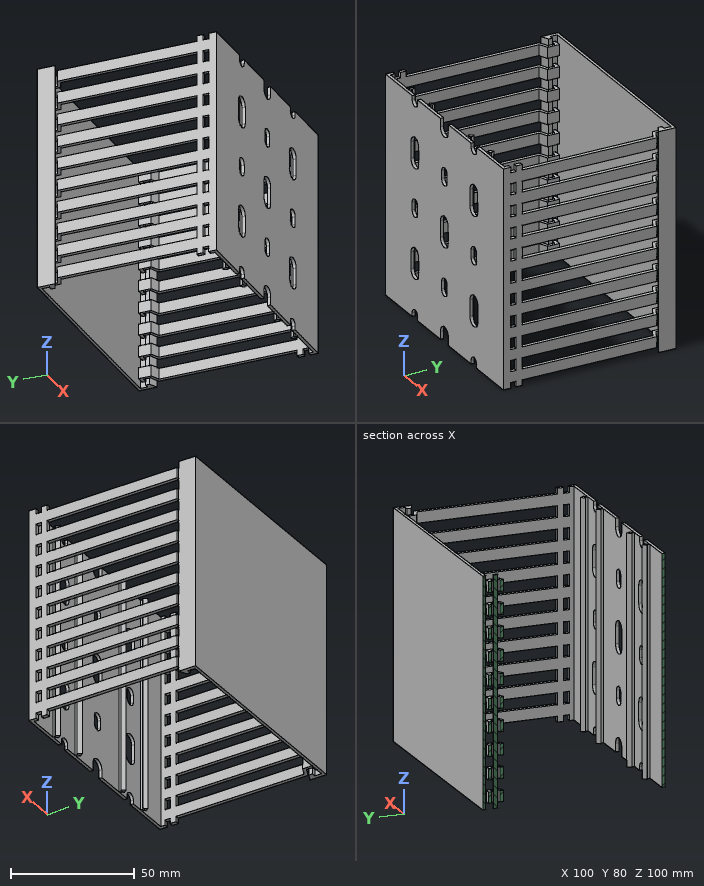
import cadquery as cq

width = 100.0
depth = 80.0
length = 100.0
half_width = width / 2
front_y = -depth / 2
back_y = depth / 2

wall = 1.8
floor = 1.5
floor_y = front_y + floor
wall_inner_x = half_width - wall

hook_start_y = 31.1
hook_bend_rise = 1.8
hook_inner_drop = 0.9
hook_lip = 1.6
hook_top_y = 37.6
hook_lip_clearance = 0.3
hook_thickness = 1.4
hook_inner_x = half_width - 5.6
hook_outer_x = hook_inner_x + hook_thickness
hook_inner_start_y = hook_start_y - hook_inner_drop

finger_count = 10
finger_pitch = length / finger_count
opening_height = finger_pitch / 2
finger_root_y = front_y + 8.8
break_slot_y = front_y + 3.5
break_slot_width = 2.5

slot_spacing = 25.0
large_slot = (14.0, 6.5)
small_slot = (8.0, 4.5)

rib_positions = (-33.4, -16.7, 16.7, 33.4)
rib_height = 3.2
rib_stem = 1.0
rib_head = 2.4
rib_head_base = 1.4
rib_barb_drop = 0.2

lid = 1.4
leg = 1.8
leg_end_y = 31.9
catch_tip_x = half_width - 3.6
catch_rise = 1.7
catch_tip_y = leg_end_y + catch_rise
catch_shelf_y = 35.4


def extrude_profile(points):
    """Closed XY outline extruded over the full length, centred on Z = 0."""
    profile = cq.Workplane("XY").workplane(offset=-length / 2)
    return profile.polyline(points).close().extrude(length)


def mirrored_outline(right_half):
    """Outline completed by mirroring its right half about the YZ plane."""
    left_half = [(-x, y) for x, y in reversed(right_half)]
    return right_half + left_half


def base_channel():
    """U-shaped channel whose side walls end in inward snap hooks."""
    lip_x = half_width - leg - hook_lip_clearance
    return extrude_profile(mirrored_outline([
        (half_width, front_y),
        (half_width, hook_start_y),
        (hook_outer_x, hook_start_y + hook_bend_rise),
        (hook_outer_x, hook_top_y - hook_lip),
        (lip_x, hook_top_y - hook_lip),
        (lip_x, hook_top_y),
        (hook_inner_x, hook_top_y),
        (hook_inner_x, hook_inner_start_y + hook_bend_rise),
        (wall_inner_x, hook_inner_start_y),
        (wall_inner_x, floor_y),
    ]))


def wall_openings():
    """Cutters across both walls: gaps between fingers and break-off slots."""
    cutters = cq.Workplane("XY")
    for start_y, end_y in (
        (finger_root_y, back_y),
        (break_slot_y, break_slot_y + break_slot_width),
    ):
        for i in range(finger_count + 1):
            z = -length / 2 + i * finger_pitch
            cutter = cq.Workplane("XY").box(width, end_y - start_y, opening_height)
            cutters.add(cutter.translate((0, (start_y + end_y) / 2, z)))
    return cutters.combine()


def floor_slots():
    """Large and small slots alternating on a grid, cut at the two ends."""
    cutters = cq.Workplane("XY")
    for column in (-1, 0, 1):
        for row in (-2, -1, 0, 1, 2):
            size = large_slot if (column + row) % 2 == 0 else small_slot
            slot = cq.Workplane("XZ", origin=(column * slot_spacing, floor_y, row * slot_spacing))
            cutters.add(slot.slot2D(*size, angle=90).extrude(floor))
    return cutters.combine()


def rib(x):
    """Arrow-headed rib standing on the floor."""
    barb_y = floor_y + rib_head_base
    right_side = [
        (rib_stem / 2, floor_y),
        (rib_stem / 2, barb_y - rib_barb_drop),
        (rib_head / 2, barb_y),
    ]
    tip = [(0, floor_y + rib_height)]
    left_side = [(-px, py) for px, py in reversed(right_side)]
    return extrude_profile(right_side + tip + left_side).translate((x, 0, 0))


def trunking_base():
    """Channel with its openings and slots cut and its ribs joined on."""
    body = base_channel().cut(wall_openings()).cut(floor_slots())
    for x in rib_positions:
        body = body.union(rib(x))
    return body


def cover():
    """Lid with side legs whose sloped catches sit inside the hooks."""
    return extrude_profile(mirrored_outline([
        (half_width, back_y),
        (half_width, leg_end_y),
        (catch_tip_x, catch_tip_y),
        (catch_tip_x, catch_shelf_y),
        (half_width - leg, catch_shelf_y),
        (half_width - leg, back_y - lid),
    ]))


base_body = trunking_base()
cover_body = cover()

result = cq.Compound.makeCompound([base_body.val(), cover_body.val()])